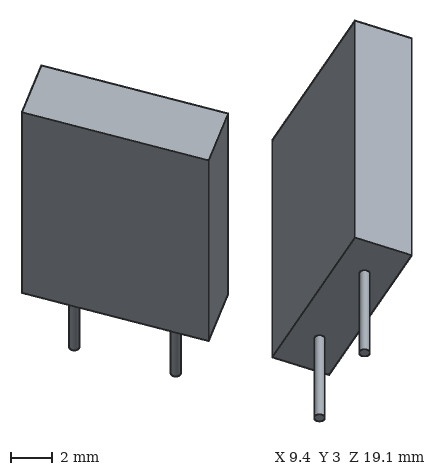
import cadquery as cq

total_height = 19.1
case_width = 9.4
case_depth = 3.0

lead_diameter = 0.52
lead_length = 5.1
lead_pitch = 5.1

case_height = total_height - lead_length


def make_case():
    """Plain rectangular case standing on the plane Z = 0."""
    return cq.Workplane("XY").box(case_width, case_depth, case_height, centered=(True, True, False))


def make_lead(x):
    """Straight round lead hanging from the underside of the case."""
    return cq.Workplane("XY").center(x, 0).circle(lead_diameter / 2).extrude(-lead_length)


case = make_case()
leads = [make_lead(side * lead_pitch / 2) for side in (-1, 1)]

result = cq.Compound.makeCompound([case.val(), *[lead.val() for lead in leads]])